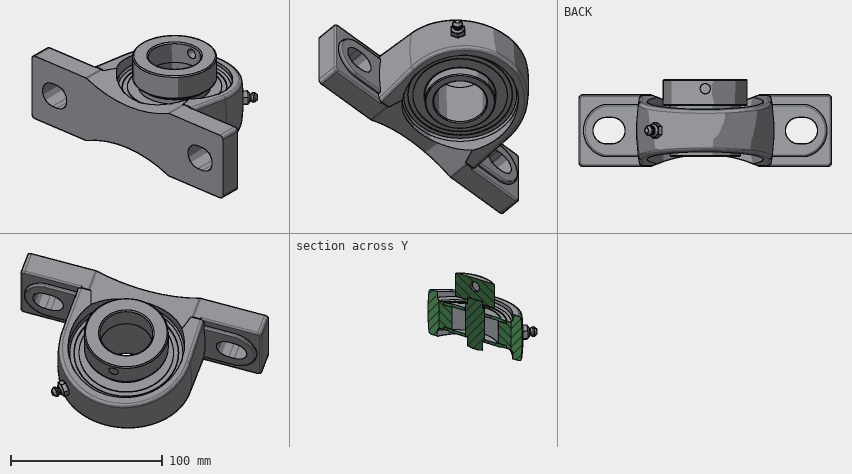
import cadquery as cq
import math


foot_length = 167.0
foot_width = 47.6
foot_height = 15.75
foot_corner_radius = 2.7
foot_top_round = 1.2
foot_middle_half_length = 41.4
foot_half_width = foot_width / 2

waist_half_length = 36.0
waist_half_width = 15.9
waist_sag = foot_half_width - waist_half_width
waist_radius = (waist_half_length**2 + waist_sag**2) / (2 * waist_sag)
waist_corner_radius = 2.0

slot_offset = 63.6
slot_length = 21.1
slot_width = 17.3
pad_height = 2.3
pad_outer_end = 80.5
pad_width = 34.6
pad_arc_start = 66.4
pad_top_round = 1.2

overall_height = 93.0
shaft_height = 47.6
arch_radius = overall_height - shaft_height
arch_half_width_at_foot = 23.2
arch_half_width_at_top = 13.2
arch_side_bulge_radius = 125.0
arch_edge_round = 2.4

housing_bore_diameter = 76.91
housing_seat_diameter = 74.7
housing_shoulder_half_width = 11.8
outer_ring_half_width = 10.0
outer_ring_bore_diameter = 59.01
outer_ring_lip_chamfer = 0.3
seal_diameter = 68.8
seal_thickness = 1.8
seal_step_diameter = 62.48
seal_step_height = 0.5
shaft_diameter = 34.92
inner_ring_diameter = 47.75
inner_ring_end_diameter = 46.67
inner_ring_end_chamfer = 0.7
inner_ring_bottom = -17.2
inner_ring_shoulder_top = 13.8
inner_ring_top = 18.75
bore_chamfer = 0.9

collar_diameter = 55.6
collar_bottom = 16.45
overall_thickness = 57.66
collar_top = overall_thickness - foot_half_width
collar_chamfer = 0.8
screw_diameter = 6.78
screw_height = 27.7
screw_inner_end = 24.0

nipple_angle = 45.0
nipple_seat_radius = 45.0
nipple_stem_diameter = 6.0
nipple_stem_length = 5.0
nipple_hex_across_flats = 9.0
nipple_hex_across_corners = nipple_hex_across_flats * 2 / math.sqrt(3)
nipple_hex_height = 3.4
nipple_cone_base_diameter = 8.6
nipple_cone_top_diameter = 6.0
nipple_cone_end = 4.8
nipple_neck_diameter = 4.5
nipple_head_start = 5.6
nipple_head_widest_start = 7.0
nipple_head_widest_end = 8.0
nipple_head_end = 9.9
nipple_head_diameter = 6.5
nipple_tip_diameter = 3.5


def shaft_cylinder(radius, bottom, top):
    """Cylinder about the shaft axis between two Z levels."""
    return cq.Workplane("XY", origin=(0, shaft_height, bottom)).circle(radius).extrude(top - bottom)


def turned(profile):
    """Turn a closed profile of (radius, Z) points about the shaft axis."""
    sketch = cq.Workplane("XZ", origin=(0, shaft_height, 0)).polyline(profile).close()
    return sketch.revolve(360, (0, 0, 0), (0, 1, 0))


def upright_plane(height=0):
    """Plane at a height above the ground, with local x along X, local y along -Z, extruding along +Y."""
    return cq.Workplane(cq.Plane(origin=(0, height, 0), xDir=(1, 0, 0), normal=(0, 1, 0)))


def make_foot():
    """Foot plate with a round along its top edge, left square where it carries the arch."""
    foot = upright_plane().rect(foot_length, foot_width).extrude(foot_height)
    foot = foot.edges("|Y").fillet(foot_corner_radius)
    foot = foot.faces(">Y").edges().fillet(foot_top_round)
    middle = upright_plane().rect(2 * foot_middle_half_length, foot_width).extrude(foot_height)
    foot = foot.union(middle)
    for side in (-1, 1):
        foot = foot.cut(make_waist_cutter(side))
    reach = waist_half_length + waist_corner_radius
    waist_ends = cq.selectors.BoxSelector(
        (-reach, 0, -foot_width),
        (reach, foot_height, foot_width),
    )
    return foot.edges("|Y").edges(waist_ends).fillet(waist_corner_radius)


def make_waist_cutter(side):
    """Round bar along Y that hollows one long side of the housing."""
    centre = side * (waist_half_width + waist_radius)
    return upright_plane().center(0, centre).circle(waist_radius).extrude(overall_height)


def make_pad(side):
    """Raised pad around a bolt slot, round at its outer end and running inward to the arch."""
    inner_end = side * (arch_radius - arch_edge_round)
    arc_start = side * pad_arc_start
    half_width = pad_width / 2
    pad = (
        upright_plane(foot_height)
        .moveTo(inner_end, -half_width)
        .lineTo(arc_start, -half_width)
        .threePointArc((side * pad_outer_end, 0), (arc_start, half_width))
        .lineTo(inner_end, half_width)
        .close()
        .extrude(pad_height)
    )
    return pad.faces(">Y").edges().fillet(pad_top_round)


def make_arch():
    """Round-topped arch with bulged sides, tapering in width toward its top."""
    arch_bottom = foot_height - foot_top_round
    side_height = foot_half_width
    side_drop = arch_side_bulge_radius - math.sqrt(arch_side_bulge_radius**2 - side_height**2)
    side_end = arch_radius - side_drop

    cap = (
        cq.Workplane("XZ", origin=(0, shaft_height, 0))
        .moveTo(0, -side_height)
        .lineTo(side_end, -side_height)
        .threePointArc((arch_radius, 0), (side_end, side_height))
        .lineTo(0, side_height)
        .close()
        .revolve(180, (0, 0, 0), (0, 1, 0))
    )
    legs = (
        upright_plane(arch_bottom)
        .moveTo(-side_end, -side_height)
        .lineTo(side_end, -side_height)
        .threePointArc((arch_radius, 0), (side_end, side_height))
        .lineTo(-side_end, side_height)
        .threePointArc((-arch_radius, 0), (-side_end, -side_height))
        .close()
        .extrude(shaft_height - arch_bottom)
    )

    taper = (arch_half_width_at_foot - arch_half_width_at_top) / (overall_height - foot_height)
    half_width_at_ground = arch_half_width_at_foot + taper * foot_height
    wedge = (
        cq.Workplane("YZ")
        .polyline(
            [
                (0, -half_width_at_ground),
                (overall_height, -arch_half_width_at_top),
                (overall_height, arch_half_width_at_top),
                (0, half_width_at_ground),
            ]
        )
        .close()
        .extrude(arch_radius, both=True)
    )
    arch = cap.union(legs).intersect(wedge)
    return arch.faces("#X and (not |Y)").edges("not #Y").fillet(arch_edge_round)


def make_bore_cutter():
    """Bore that narrows through a conical shoulder at each end of the bearing seat."""
    opening = housing_bore_diameter / 2
    seat = housing_seat_diameter / 2
    return turned(
        [
            (0, -foot_width),
            (opening, -foot_width),
            (opening, -housing_shoulder_half_width),
            (seat, -outer_ring_half_width),
            (seat, outer_ring_half_width),
            (opening, housing_shoulder_half_width),
            (opening, foot_width),
            (0, foot_width),
        ]
    )


def make_housing(nipple):
    housing = make_arch()
    for side in (-1, 1):
        housing = housing.union(make_pad(side)).cut(make_waist_cutter(side))
    housing = housing.union(make_foot())
    slots = (
        upright_plane()
        .pushPoints([(-slot_offset, 0), (slot_offset, 0)])
        .slot2D(slot_length, slot_width)
        .extrude(foot_height + pad_height)
    )
    return housing.cut(slots).cut(make_bore_cutter()).cut(nipple)


def make_outer_ring():
    """Ring that fills the housing seat, with a seal recess in each face."""
    face = outer_ring_half_width
    seal_floor = face - seal_thickness
    bore = outer_ring_bore_diameter / 2
    ring = shaft_cylinder(housing_seat_diameter / 2, -face, face).cut(shaft_cylinder(bore, -face, face))
    for bottom in (-face, seal_floor):
        ring = ring.cut(shaft_cylinder(seal_diameter / 2, bottom, bottom + seal_thickness))
    for face_name in (">Z", "<Z"):
        ring = ring.faces(face_name).edges(cq.selectors.RadiusNthSelector(0)).chamfer(outer_ring_lip_chamfer)
    return ring


def make_seal(side):
    """Annular seal whose inner part stands slightly proud of its rim; side is +1 on top, -1 below."""
    inner = inner_ring_diameter / 2
    step = seal_step_diameter / 2
    rim = seal_diameter / 2
    outside = side * outer_ring_half_width
    proud = outside + side * seal_step_height
    inside = outside - side * seal_thickness
    return turned(
        [(inner, inside), (rim, inside), (rim, outside), (step, outside), (step, proud), (inner, proud)]
    )


def make_inner_ring():
    """Inner ring: a wide middle between two narrower ends, the upper one reaching into the collar."""
    bore = shaft_diameter / 2
    end = inner_ring_end_diameter / 2
    middle = inner_ring_diameter / 2
    ring = turned(
        [
            (bore, inner_ring_bottom),
            (end, inner_ring_bottom),
            (end, -outer_ring_half_width),
            (middle, -outer_ring_half_width),
            (middle, inner_ring_shoulder_top),
            (end, inner_ring_shoulder_top),
            (end, inner_ring_top),
            (bore, inner_ring_top),
        ]
    )
    return ring.faces("<Z").edges().chamfer(inner_ring_end_chamfer)


def make_screw_bar(inner_end):
    """Bar along +Y through the collar wall, from a given distance off the shaft axis outward."""
    bar = upright_plane(shaft_height + inner_end).center(0, -screw_height).circle(screw_diameter / 2)
    return bar.extrude(collar_diameter / 2 - inner_end)


def make_collar():
    outside = shaft_cylinder(collar_diameter / 2, collar_bottom, collar_top).edges().chamfer(collar_chamfer)
    collar = outside.cut(shaft_cylinder(shaft_diameter / 2, collar_bottom, collar_top))
    collar = collar.faces(">Z").edges(cq.selectors.RadiusNthSelector(0)).chamfer(bore_chamfer)
    collar = collar.cut(shaft_cylinder(inner_ring_end_diameter / 2, collar_bottom, inner_ring_top))
    return collar.cut(make_screw_bar(0))


def make_set_screw():
    """Screw sunk below the collar bore, its outer end trimmed flush with the collar."""
    return make_screw_bar(screw_inner_end).intersect(
        shaft_cylinder(collar_diameter / 2, collar_bottom, collar_top)
    )


def make_nipple():
    """Turned nipple with a hexagon that has a corner facing +Z, pointing radially out of the arch."""
    angle = math.radians(nipple_angle)
    outward = (math.cos(angle), math.sin(angle), 0)
    seat = (
        nipple_seat_radius * outward[0],
        shaft_height + nipple_seat_radius * outward[1],
        0,
    )
    hexagon_plane = cq.Plane(origin=seat, xDir=(0, 0, 1), normal=outward)
    turned_profile = [
        (0, -nipple_stem_length),
        (nipple_stem_diameter / 2, -nipple_stem_length),
        (nipple_stem_diameter / 2, nipple_hex_height),
        (nipple_cone_base_diameter / 2, nipple_hex_height),
        (nipple_cone_top_diameter / 2, nipple_cone_end),
        (nipple_neck_diameter / 2, nipple_cone_end),
        (nipple_neck_diameter / 2, nipple_head_start),
        (nipple_head_diameter / 2, nipple_head_widest_start),
        (nipple_head_diameter / 2, nipple_head_widest_end),
        (nipple_tip_diameter / 2, nipple_head_end),
        (0, nipple_head_end),
    ]
    profile_plane = cq.Plane(origin=seat, xDir=(0, 0, 1), normal=(-outward[1], outward[0], 0))
    body = cq.Workplane(profile_plane).polyline(turned_profile).close().revolve(360, (0, 0, 0), (0, 1, 0))
    hexagon = cq.Workplane(hexagon_plane).polygon(6, nipple_hex_across_corners)
    return body.union(hexagon.extrude(nipple_hex_height))


nipple = make_nipple()
outer_ring = make_outer_ring()
housing = make_housing(nipple)
inner_ring = make_inner_ring()
seals = [make_seal(side) for side in (1, -1)]
collar = make_collar()
set_screw = make_set_screw()

result = cq.Compound.makeCompound(
    [
        housing.val(),
        outer_ring.val(),
        inner_ring.val(),
        *[seal.val() for seal in seals],
        collar.val(),
        set_screw.val(),
        nipple.val(),
    ]
)